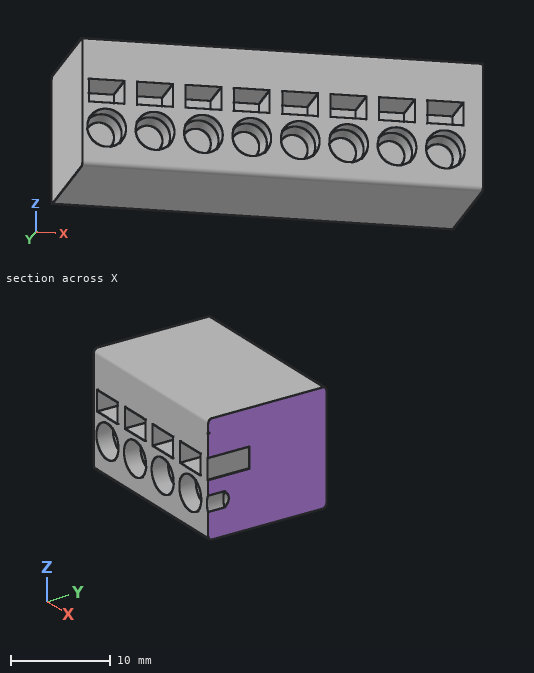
import cadquery as cq

length = 41.4
depth = 14.4
height = 13.5
edge_radius = 0.5

position_count = 8
pitch = 5.0
first_position_x = 2.5

entry_z = 4.1
bore_diameter = 4.0
bore_depth = 2.0
floor_diameter = 3.0
cone_length = 1.3

slot_width = 3.7
slot_height = 2.4
slot_bottom_z = 6.75
slot_depth = 5.0


def make_housing():
    """Block with its front at Y = 0 and its four long edges rounded."""
    block = cq.Workplane("XY").box(length, depth, height, centered=False)
    return block.edges("|X").fillet(edge_radius)


def make_wire_entry(x):
    """Cutter for one wire entry, revolved about its axis along +Y."""
    bore_radius = bore_diameter / 2
    floor_depth = bore_depth + cone_length
    profile = (
        cq.Workplane("XY")
        .moveTo(0, 0)
        .lineTo(bore_radius, 0)
        .lineTo(bore_radius, bore_depth)
        .lineTo(floor_diameter / 2, floor_depth)
        .lineTo(0, floor_depth)
        .close()
    )
    return profile.revolve(360, (0, 0, 0), (0, 1, 0)).translate((x, 0, entry_z))


def make_release_slot(x):
    """Cutter for one rectangular slot centred on the terminal position."""
    slot = cq.Workplane("XY").box(slot_width, slot_depth, slot_height, centered=(True, False, False))
    return slot.translate((x, 0, slot_bottom_z))


result = make_housing()
for index in range(position_count):
    position_x = first_position_x + index * pitch
    result = result.cut(make_wire_entry(position_x))
    result = result.cut(make_release_slot(position_x))